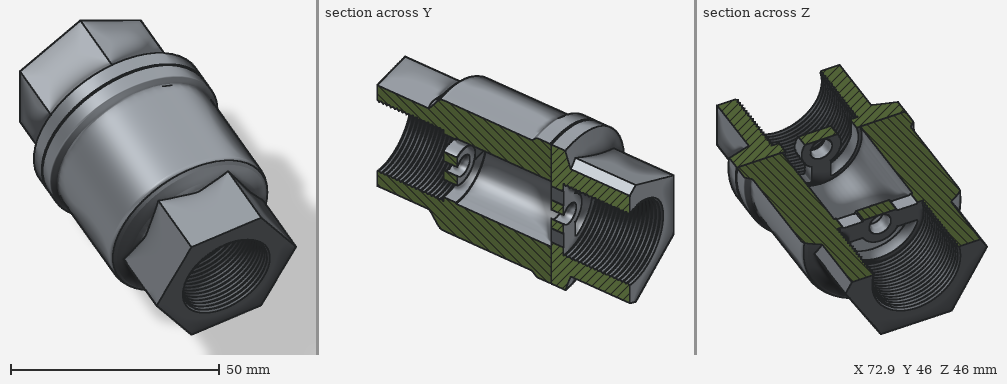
import cadquery as cq
import math

LENGTH = 72.9
HEX_FLAT_RADIUS = 16.55
HEX_CORNER_DIAMETER = 2 * HEX_FLAT_RADIUS / math.cos(math.pi / 6)
FLANGE_RADIUS = 23.0
JOINT_X = 22.75
JOINT_CHAMFER = 0.2

THREAD_ROOT_RADIUS = 11.95
THREAD_CREST_RADIUS = 11.45
THREAD_DEPTH = 19.1
THREAD_TURNS = 17
THREAD_PITCH = THREAD_DEPTH / THREAD_TURNS

HUB_RADIUS = 5.3
HUB_BORE_RADIUS = 2.9
SPOKE_WIDTH = 5.1
CAP_WINDOW_RADIUS = 10.0
WINDOW_CORNER_RADIUS = 0.5
HOUSING_WINDOW_RADIUS = 10.6
HOUSING_WEB_THICKNESS = JOINT_X - THREAD_DEPTH
HUB_CONE_HEIGHT = 0.4
HUB_CONE_TOP_RADIUS = 5.25
HUB_CONE_BASE_RADIUS = 5.7

CAP_HEX_TURN = 90
CAP_CONE_X = 16.6
CAP_RIM_X = 18.6

HOUSING_HEX_TURN = 0
HOUSING_WEB_TURN = 90
BARREL_RADIUS = 21.6
CAVITY_RADIUS = 10.9
FLANGE_END_X = 26.8
FLANGE_SLOPE_END_X = FLANGE_END_X + FLANGE_RADIUS - BARREL_RADIUS
FLANGE_FILLET = 0.6
BARREL_END_X = 53.7
SHOULDER_ARC_MID = (54.4, 21.4)
SHOULDER_ARC_END = (54.8, 21.2)
SHOULDER_BEVEL_END = (55.55, 20.4)
SHOULDER_CONE_END = (57.3, 17.65)
NECK_INSET = 0.1
NECK_ARC_MID = (57.9, 16.9)
NECK_ARC_END = (58.9, HEX_FLAT_RADIUS - NECK_INSET)


def revolve_about_x(profile):
    """Spin a closed (x, radius) profile about the main axis."""
    return profile.close().revolve(360, (0, 0, 0), (1, 0, 0))


def cylinder(radius, start_x, end_x):
    """Round bar on the main axis."""
    return cq.Workplane("YZ", origin=(start_x, 0, 0)).circle(radius).extrude(end_x - start_x)


def hexagon(start_x, end_x, turn):
    """Hexagonal bar along X; with no turn two corners point along Y."""
    bar = cq.Workplane("YZ", origin=(start_x, 0, 0)).polygon(6, HEX_CORNER_DIAMETER)
    return bar.extrude(end_x - start_x).rotate((0, 0, 0), (1, 0, 0), turn)


def threaded_socket():
    """Solid that cuts a threaded socket open at x = 0."""
    profile = cq.Workplane("XY").moveTo(0, 0).lineTo(0, THREAD_ROOT_RADIUS)
    for turn in range(THREAD_TURNS):
        start_x = turn * THREAD_PITCH
        profile = profile.lineTo(start_x + THREAD_PITCH / 2, THREAD_CREST_RADIUS)
        profile = profile.lineTo(start_x + THREAD_PITCH, THREAD_ROOT_RADIUS)
    return revolve_about_x(profile.lineTo(THREAD_DEPTH, 0))


def web_openings(start_x, end_x, window_radius):
    """Two windows, left and right of a spoke that runs along Z, and the hub bore."""
    windows = cylinder(window_radius, start_x, end_x).cut(cylinder(HUB_RADIUS, start_x, end_x))
    spoke = cq.Workplane("XY").box(end_x - start_x, SPOKE_WIDTH, 2 * window_radius)
    windows = windows.cut(spoke.translate(((start_x + end_x) / 2, 0, 0)))
    outer_corners = cq.selectors.BoxSelector(
        (start_x, -SPOKE_WIDTH, HUB_RADIUS), (end_x, SPOKE_WIDTH, window_radius)
    ) + cq.selectors.BoxSelector(
        (start_x, -SPOKE_WIDTH, -window_radius), (end_x, SPOKE_WIDTH, -HUB_RADIUS)
    )
    windows = windows.edges("|X").edges(outer_corners).fillet(WINDOW_CORNER_RADIUS)
    return windows.union(cylinder(HUB_BORE_RADIUS, start_x, end_x))


def make_cap():
    """Hexagonal end with a conical rim, a threaded socket and a spoked web."""
    rim = revolve_about_x(
        cq.Workplane("XY")
        .moveTo(CAP_CONE_X, 0)
        .lineTo(CAP_CONE_X, HEX_FLAT_RADIUS)
        .lineTo(CAP_RIM_X, FLANGE_RADIUS)
        .lineTo(JOINT_X - JOINT_CHAMFER, FLANGE_RADIUS)
        .lineTo(JOINT_X, FLANGE_RADIUS - JOINT_CHAMFER)
        .lineTo(JOINT_X, 0)
    )
    body = rim.union(hexagon(0, CAP_RIM_X, CAP_HEX_TURN)).cut(threaded_socket())
    return body.cut(web_openings(THREAD_DEPTH, JOINT_X, CAP_WINDOW_RADIUS))


def housing_shell():
    """Turned outside of the housing, from the joint to the neck at the hexagon."""
    shell = revolve_about_x(
        cq.Workplane("XY")
        .moveTo(JOINT_X, 0)
        .lineTo(JOINT_X, FLANGE_RADIUS - JOINT_CHAMFER)
        .lineTo(JOINT_X + JOINT_CHAMFER, FLANGE_RADIUS)
        .lineTo(FLANGE_END_X, FLANGE_RADIUS)
        .lineTo(FLANGE_SLOPE_END_X, BARREL_RADIUS)
        .lineTo(BARREL_END_X, BARREL_RADIUS)
        .threePointArc(SHOULDER_ARC_MID, SHOULDER_ARC_END)
        .lineTo(*SHOULDER_BEVEL_END)
        .lineTo(*SHOULDER_CONE_END)
        .threePointArc(NECK_ARC_MID, NECK_ARC_END)
        .lineTo(NECK_ARC_END[0], 0)
    )
    slope_ends = cq.selectors.BoxSelector(
        (FLANGE_END_X - FLANGE_FILLET, -0.7, -0.7), (FLANGE_SLOPE_END_X + FLANGE_FILLET, 0.7, 0.7)
    )
    return shell.edges("%CIRCLE").edges(slope_ends).fillet(FLANGE_FILLET)


def make_housing():
    """Barrel with a hexagonal end, hollow from the joint to its spoked web."""
    web_end_x = LENGTH - THREAD_DEPTH
    web_start_x = web_end_x - HOUSING_WEB_THICKNESS
    body = housing_shell().union(hexagon(SHOULDER_BEVEL_END[0], LENGTH, HOUSING_HEX_TURN))
    body = body.cut(threaded_socket().mirror("YZ").translate((LENGTH, 0, 0)))
    body = body.cut(cylinder(CAVITY_RADIUS, JOINT_X, web_start_x))
    hub_cone = revolve_about_x(
        cq.Workplane("XY")
        .moveTo(web_start_x - HUB_CONE_HEIGHT, 0)
        .lineTo(web_start_x - HUB_CONE_HEIGHT, HUB_CONE_TOP_RADIUS)
        .lineTo(web_start_x, HUB_CONE_BASE_RADIUS)
        .lineTo(web_start_x, 0)
    )
    openings = web_openings(web_start_x - HUB_CONE_HEIGHT, web_end_x, HOUSING_WINDOW_RADIUS)
    return body.union(hub_cone).cut(openings.rotate((0, 0, 0), (1, 0, 0), HOUSING_WEB_TURN))


cap = make_cap()
housing = make_housing()

result = cq.Compound.makeCompound([cap.val(), housing.val()])